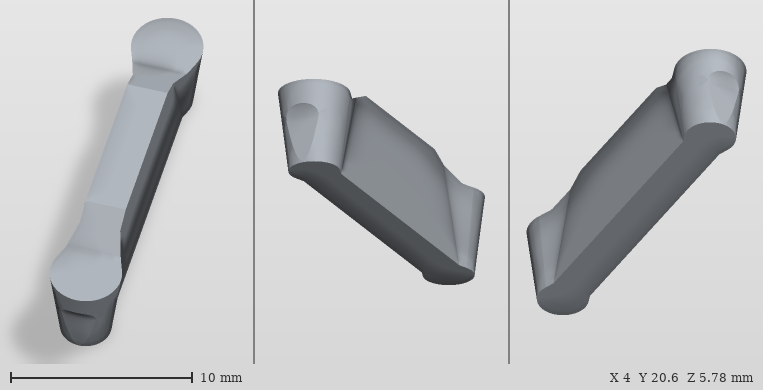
import cadquery as cq
import math

length = 20.58
height = 5.78
web_half_width = 1.15

rim_radius = 2.0
rim_height = 4.63
relief_angle = math.radians(7)
flank_angle = math.radians(20)

land_half_length = 4.25
ramp_angle = math.radians(25)
floor_height = 4.6
ramp_fillet = 0.58
floor_end = 7.04
tip_height = 4.67

relief_depth_y = 1.45
relief_flat_height = 2.53
relief_arc_radius = 1.05


def cone_radius(z):
    return rim_radius + (z - rim_height) * math.tan(relief_angle)


head_y = length / 2 - cone_radius(tip_height)


def web_joint_y(z):
    """Place along Y where the flanks at height z reach the side of the web."""
    inset = (cone_radius(z) - web_half_width * math.cos(flank_angle)) / math.sin(flank_angle)
    return head_y - inset


def head_outline(z):
    """Teardrop section of the +Y head: web end, tangent flanks and round nose."""
    radius = cone_radius(z)
    tangent_x = radius * math.cos(flank_angle)
    tangent_y = head_y - radius * math.sin(flank_angle)
    joint_y = web_joint_y(z)
    return (
        cq.Workplane("XY", origin=(0, 0, z))
        .moveTo(-web_half_width, joint_y)
        .lineTo(web_half_width, joint_y)
        .lineTo(tangent_x, tangent_y)
        .threePointArc((0, head_y + radius), (-tangent_x, tangent_y))
        .close()
        .val()
    )


def make_head():
    sections = [head_outline(0), head_outline(height)]
    return cq.Workplane(cq.Solid.makeLoft(sections, True))


def make_top_cutter():
    """Space above the ramp, floor and gently rising nose at the +Y end."""
    ramp_foot = land_half_length + (height - floor_height) / math.tan(ramp_angle)
    tangent_length = ramp_fillet * math.tan(ramp_angle / 2)
    fillet_start = (
        ramp_foot - tangent_length * math.cos(ramp_angle),
        floor_height + tangent_length * math.sin(ramp_angle),
    )
    fillet_end_y = ramp_foot + tangent_length
    fillet_middle = (
        fillet_end_y - ramp_fillet * math.sin(ramp_angle / 2),
        floor_height + ramp_fillet * (1 - math.cos(ramp_angle / 2)),
    )
    tip_y = length / 2
    outside_y = length
    return (
        cq.Workplane("YZ")
        .moveTo(land_half_length, height)
        .lineTo(*fillet_start)
        .threePointArc(fillet_middle, (fillet_end_y, floor_height))
        .lineTo(floor_end, floor_height)
        .lineTo(head_y, rim_height)
        .lineTo(tip_y, tip_height)
        .lineTo(outside_y, tip_height)
        .lineTo(outside_y, height)
        .close()
        .extrude(rim_radius * 2, both=True)
    )


def make_nose_cutter():
    """Space in front of the nose flat; the arc leaves the flat tangentially."""
    flat_y = head_y + relief_depth_y

    def arc_point(angle):
        return (
            flat_y + relief_arc_radius * (1 - math.cos(angle)),
            relief_flat_height + relief_arc_radius * math.sin(angle),
        )

    outside_y = flat_y + relief_arc_radius
    return (
        cq.Workplane("YZ")
        .moveTo(flat_y, 0)
        .lineTo(flat_y, relief_flat_height)
        .threePointArc(arc_point(math.pi / 4), arc_point(math.pi / 2))
        .lineTo(outside_y, 0)
        .close()
        .extrude(rim_radius, both=True)
    )


web = cq.Workplane("XY").box(
    2 * web_half_width, 2 * web_joint_y(0), height, centered=(True, True, False)
)
head = make_head().cut(make_top_cutter()).cut(make_nose_cutter())
web = web.cut(make_top_cutter()).cut(make_top_cutter().mirror("XZ"))
result = web.union(head).union(head.mirror("XZ"))